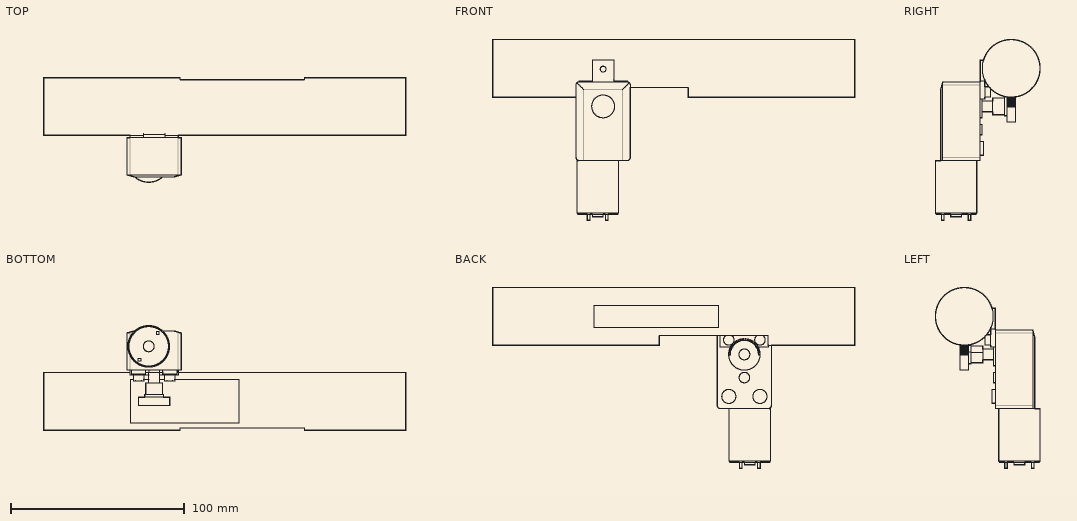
import cadquery as cq
import math

ROD_LENGTH = 208.5
ROD_DIAMETER = 33.4
BOTTOM_NOTCH_START = 50.0
BOTTOM_NOTCH_END = 112.6
BOTTOM_NOTCH_Z = -11.0
BACK_FLAT_START = 78.6
BACK_FLAT_END = 150.2
BACK_FLAT_Y = 15.5

AXIS_X = 63.6
AXIS_Z = -22.0

BOX_WIDTH = 31.3
BOX_TOP = -7.7
BOX_BOTTOM = -53.2
BOX_BACK = -18.0
BOX_FRONT = -40.7
BOX_EDGE_RADIUS = 1.9
BEVEL_WIDTH = 4.4
BEVEL_DEPTH = 1.3
BOSS_SPACING = 18.0
LOWER_BOSS_DIAMETER = 8.1
LOWER_BOSS_HEIGHT = 2.0
LOWER_BOSS_Z = -46.0
MIDDLE_BOSS_DIAMETER = 6.0
MIDDLE_BOSS_HEIGHT = 1.3
MIDDLE_BOSS_Z = -35.3

MOTOR_X = 60.5
MOTOR_Y = -31.7
MOTOR_DIAMETER = 24.0
MOTOR_BOTTOM = -84.0
MOTOR_RIM_CHAMFER = 0.6
END_BOSS_DIAMETER = 6.3
END_BOSS_HEIGHT = 1.5
TERMINAL_SIZE = 1.7
TERMINAL_BOTTOM = -87.6
TERMINAL_OFFSET_X = 5.2
TERMINAL_OFFSET_Y = 7.7

CORE_DIAMETER = 13.1
CORE_BACK = -16.7
SHAFT_DIAMETER = 6.3

HUB_DIAMETER = 9.8
HUB_FRONT = -10.6
FLAT_HALF_ANGLE = 31.0
FLAT_DIRECTION = 135.0
COLLAR_DIAMETER = 10.8
COLLAR_FRONT = -4.0
WHEEL_DIAMETER = 18.1
WHEEL_FRONT = -2.5
WHEEL_BACK = 2.5
TOOTH_COUNT = 20
TOOTHED_ANGLE = 180.0
TOOTH_DEPTH = 1.0
TOOTH_GAP = 0.73

BRACKET_BACK = -15.2
PLATE_WIDTH = 28.0
PLATE_TOP = -7.3
PLATE_BOTTOM = -17.7
TAB_WIDTH = 12.3
TAB_TOP = 4.8
TAB_HOLE_DIAMETER = 3.3
TAB_HOLE_Z = -0.5
SCREW_BOSS_DIAMETER = 6.0
SCREW_BOSS_Z = -13.5
SCREW_BOSS_END = -11.9


def block(x_range, y_range, z_range):
    """Box given by its lower and upper limit along each axis."""
    sizes = [high - low for low, high in (x_range, y_range, z_range)]
    corner = (x_range[0], y_range[0], z_range[0])
    return cq.Workplane("XY").box(*sizes, centered=False).translate(corner)


def centred_range(centre, width):
    return (centre - width / 2, centre + width / 2)


def y_cylinder(diameter, y_start, y_end, x=AXIS_X, z=AXIS_Z):
    """Cylinder parallel to Y between two Y positions."""
    plane = cq.Plane(origin=(x, y_start, z), xDir=(1, 0, 0), normal=(0, 1, 0))
    return cq.Workplane(plane).circle(diameter / 2).extrude(y_end - y_start)


def boss_positions_x():
    """X positions of the left and right boss of a pair."""
    return (AXIS_X - BOSS_SPACING / 2, AXIS_X + BOSS_SPACING / 2)


def make_output_shaft():
    core = y_cylinder(CORE_DIAMETER, BOX_FRONT, CORE_BACK)
    return core.union(y_cylinder(SHAFT_DIAMETER, CORE_BACK, WHEEL_BACK))


def make_bevelled_box():
    """Rounded box whose front face is bevelled along the top and both sides."""
    left, right = centred_range(AXIS_X, BOX_WIDTH)
    shoulder = BOX_FRONT + BEVEL_DEPTH
    box = block((left, right), (BOX_FRONT, BOX_BACK), (BOX_BOTTOM, BOX_TOP))
    box = box.edges("|Y").fillet(BOX_EDGE_RADIUS)
    side_envelope = (
        cq.Workplane("XY")
        .polyline([
            (left, BOX_BACK),
            (left, shoulder),
            (left + BEVEL_WIDTH, BOX_FRONT),
            (right - BEVEL_WIDTH, BOX_FRONT),
            (right, shoulder),
            (right, BOX_BACK),
        ])
        .close()
        .extrude(BOX_TOP - BOX_BOTTOM)
        .translate((0, 0, BOX_BOTTOM))
    )
    top_envelope = (
        cq.Workplane("YZ")
        .polyline([
            (BOX_BACK, BOX_BOTTOM),
            (BOX_FRONT, BOX_BOTTOM),
            (BOX_FRONT, BOX_TOP - BEVEL_WIDTH),
            (shoulder, BOX_TOP),
            (BOX_BACK, BOX_TOP),
        ])
        .close()
        .extrude(BOX_WIDTH)
        .translate((left, 0, 0))
    )
    return box.intersect(side_envelope).intersect(top_envelope)


def make_gearbox(output_shaft):
    gearbox = make_bevelled_box()
    for x in boss_positions_x():
        lower_boss = y_cylinder(LOWER_BOSS_DIAMETER, BOX_BACK, BOX_BACK + LOWER_BOSS_HEIGHT, x, LOWER_BOSS_Z)
        gearbox = gearbox.union(lower_boss)
    middle_boss_end = BOX_BACK + MIDDLE_BOSS_HEIGHT
    middle_boss = y_cylinder(MIDDLE_BOSS_DIAMETER, BOX_BACK, middle_boss_end, z=MIDDLE_BOSS_Z)
    return gearbox.union(middle_boss).cut(output_shaft)


def make_motor():
    can = (
        cq.Workplane("XY", origin=(MOTOR_X, MOTOR_Y, MOTOR_BOTTOM))
        .circle(MOTOR_DIAMETER / 2)
        .extrude(BOX_BOTTOM - MOTOR_BOTTOM)
        .faces("<Z")
        .chamfer(MOTOR_RIM_CHAMFER)
    )
    end_boss = (
        cq.Workplane("XY", origin=(MOTOR_X, MOTOR_Y, MOTOR_BOTTOM))
        .circle(END_BOSS_DIAMETER / 2)
        .extrude(-END_BOSS_HEIGHT)
    )
    motor = can.union(end_boss)
    for side in (-1, 1):
        terminal = block(
            centred_range(MOTOR_X + side * TERMINAL_OFFSET_X, TERMINAL_SIZE),
            centred_range(MOTOR_Y - side * TERMINAL_OFFSET_Y, TERMINAL_SIZE),
            (TERMINAL_BOTTOM, MOTOR_BOTTOM),
        )
        motor = motor.union(terminal)
    return motor


def make_toothed_wheel():
    """Wheel with teeth around its upper half and a plain lower half."""
    wheel = y_cylinder(WHEEL_DIAMETER, WHEEL_FRONT, WHEEL_BACK)
    radius = WHEEL_DIAMETER / 2
    gap = block(
        (AXIS_X + radius - TOOTH_DEPTH, AXIS_X + radius + TOOTH_DEPTH),
        (WHEEL_FRONT, WHEEL_BACK),
        centred_range(AXIS_Z, TOOTH_GAP),
    )
    axis_start = (AXIS_X, WHEEL_BACK, AXIS_Z)
    axis_end = (AXIS_X, WHEEL_FRONT, AXIS_Z)
    for index in range(TOOTH_COUNT + 1):
        wheel = wheel.cut(gap.rotate(axis_start, axis_end, index * TOOTHED_ANGLE / TOOTH_COUNT))
    return wheel


def make_flatted_disc(diameter, y_start, y_end):
    """Disc with one flat on its upper left side."""
    disc = y_cylinder(diameter, y_start, y_end)
    flat_distance = diameter / 2 * math.cos(math.radians(FLAT_HALF_ANGLE))
    flat_cutter = block(
        (AXIS_X + flat_distance, AXIS_X + diameter),
        (y_start, y_end),
        centred_range(AXIS_Z, 2 * diameter),
    )
    axis_start = (AXIS_X, y_end, AXIS_Z)
    axis_end = (AXIS_X, y_start, AXIS_Z)
    return disc.cut(flat_cutter.rotate(axis_start, axis_end, FLAT_DIRECTION))


def make_pinion(output_shaft):
    hub = make_flatted_disc(HUB_DIAMETER, HUB_FRONT, COLLAR_FRONT)
    collar = make_flatted_disc(COLLAR_DIAMETER, COLLAR_FRONT, WHEEL_FRONT)
    return make_toothed_wheel().union(collar).union(hub).cut(output_shaft)


def make_bracket_blank():
    """Bracket without its holes, used to recess the rod as well."""
    y_range = (BOX_BACK, BRACKET_BACK)
    plate = block(centred_range(AXIS_X, PLATE_WIDTH), y_range, (PLATE_BOTTOM, PLATE_TOP))
    tab = block(centred_range(AXIS_X, TAB_WIDTH), y_range, (PLATE_TOP, TAB_TOP))
    blank = plate.union(tab)
    for x in boss_positions_x():
        screw_boss = y_cylinder(SCREW_BOSS_DIAMETER, BRACKET_BACK, SCREW_BOSS_END, x, SCREW_BOSS_Z)
        blank = blank.union(screw_boss)
    return blank


def make_bracket(blank):
    hole = y_cylinder(TAB_HOLE_DIAMETER, BOX_BACK, BRACKET_BACK, z=TAB_HOLE_Z)
    core_clearance = y_cylinder(CORE_DIAMETER, BOX_BACK, BRACKET_BACK)
    return blank.cut(hole).cut(core_clearance)


def make_rod(bracket_blank):
    radius = ROD_DIAMETER / 2
    rod = cq.Workplane("YZ").circle(radius).extrude(ROD_LENGTH)
    bottom_notch = block(
        (BOTTOM_NOTCH_START, BOTTOM_NOTCH_END), (-radius, radius), (-radius, BOTTOM_NOTCH_Z)
    )
    back_flat = block((BACK_FLAT_START, BACK_FLAT_END), (BACK_FLAT_Y, radius), (-radius, radius))
    return rod.cut(bottom_notch).cut(back_flat).cut(bracket_blank)


output_shaft = make_output_shaft()
gearbox = make_gearbox(output_shaft)
motor = make_motor()
pinion = make_pinion(output_shaft)
bracket_blank = make_bracket_blank()
bracket = make_bracket(bracket_blank)
rod = make_rod(bracket_blank)

result = cq.Compound.makeCompound([
    rod.solids().val(),
    bracket.solids().val(),
    gearbox.solids().val(),
    motor.solids().val(),
    output_shaft.solids().val(),
    pinion.solids().val(),
])